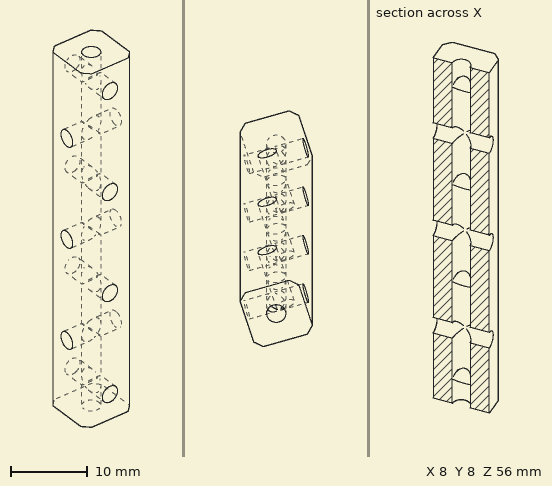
import cadquery as cq

side = 8.0
length = 56.0
edge_chamfer = 1.0
edge_fillet = 0.25

hole_diameter = 2.5
hole_pitch = 16.0
x_hole_count = 4
y_hole_count = 3


def make_bar():
    """Bar with chamfered long edges, and a small fillet on both borders of each chamfer."""
    block = cq.Workplane("XY").box(side, side, length)
    chamfered = block.edges("|Z").chamfer(edge_chamfer)
    return chamfered.edges("|Z").fillet(edge_fillet)


def cross_holes(plane, count):
    """Row of holes normal to the plane, evenly spaced along Z about the middle of the bar."""
    return (
        cq.Workplane(plane)
        .rarray(1, hole_pitch, 1, count)
        .circle(hole_diameter / 2)
        .extrude(side / 2, both=True)
    )


def axial_hole():
    """Hole along the axis of the bar, from end to end."""
    return cq.Workplane("XY").circle(hole_diameter / 2).extrude(length / 2, both=True)


result = (
    make_bar()
    .cut(cross_holes("YZ", x_hole_count))
    .cut(cross_holes("XZ", y_hole_count))
    .cut(axial_hole())
)